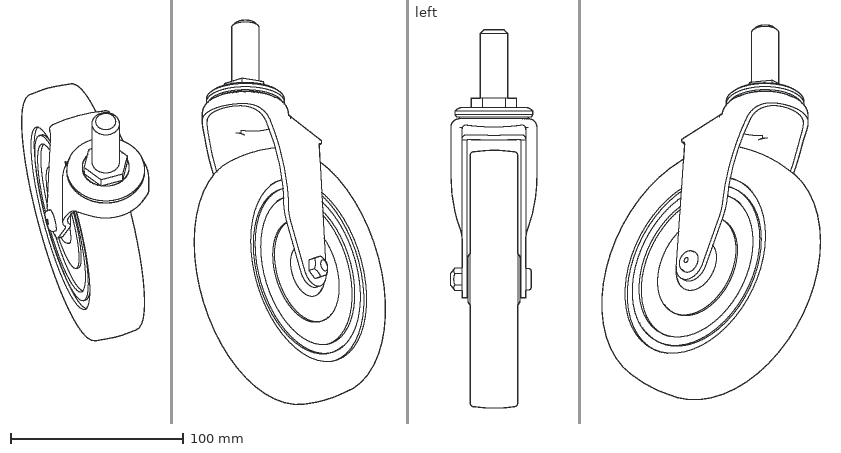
import cadquery as cq
import math


wheel_radius = 75.0
tread_edge_radius = 74.0
shoulder_radius = 72.0
wheel_width = 27.7
wheel_half_width = wheel_width / 2
shoulder_width = 2.2
groove_outer_radius = 54.8
rib_outer_radius = 49.7
web_outer_radius = 44.5
disc_radius = 30.5
step_down = 2.0
step_up = 1.3
hub_radius = 15.5
hub_fillet = 3.0
hub_half_width = 15.2

axle_radius = 4.5
head_radius = 6.4
head_height = 3.3
head_fillet = 2.0
dimple_radius = 1.5
dimple_depth = 1.0
nut_corner_radius = 6.5
nut_height = 6.8
nut_tip_radius = 3.3
nut_corner_height = 4.2

sheet = 2.9
leg_outer_y = 18.5
leg_inner_y = leg_outer_y - sheet
leg_end_radius = 10.8
leg_rear_lean = 4.8
leg_front_lean = 27
swivel_x = 42.0
dome_radius = 25.0
dome_fillet = 5.0
dome_top = 93.2
skirt_bottom = 84.0
skirt_corner_x = 53.7
skirt_fillet = 15.5
blend_radius = 5.7
roof_slope = 10.5
roof_edge_x = -9.2
roof_edge_z = 83.5
roof_edge_bow = 2.5
roof_fillet = 2.6
roof_inner_fillet = 0.7
notch_radius = 1.8

neck_radius = 20.0
ring_radius = 22.6
ring_bottom_radius = 21.8
ring_face_radius = 18.0
ring_bottom = 94.1
ring_chamfer_top = 95.7
ring_shoulder = 97.6
ring_top = 99.8
ring_recess_radius = 13.6
ring_recess_depth = 0.9

stem_diameter = 16.0
stem_radius = stem_diameter / 2
stem_top = 145.0
stem_chamfer = 2.2
stem_hex_corner_radius = 13.2
stem_hex_top = 105.0

trim_bottom = -2 * leg_end_radius
trim_left = -4 * leg_end_radius


def revolve_about_axle(sketch):
    """Revolve a (radius, Y) profile drawn in the XY plane about the Y axis."""
    return sketch.close().revolve(360, (0, 0, 0), (0, 1, 0))


def make_wheel():
    tread_half_width = wheel_half_width - shoulder_width
    groove_face = wheel_half_width - step_down
    rib_face = groove_face + step_up
    web_face = rib_face - step_down
    disc_face = web_face + step_up
    hub_flat_radius = hub_radius - hub_fillet

    blank = revolve_about_axle(
        cq.Workplane("XY")
        .moveTo(axle_radius, -wheel_half_width)
        .lineTo(shoulder_radius, -wheel_half_width)
        .radiusArc((tread_edge_radius, -tread_half_width), -shoulder_width)
        .threePointArc((wheel_radius, 0), (tread_edge_radius, tread_half_width))
        .radiusArc((shoulder_radius, wheel_half_width), -shoulder_width)
        .lineTo(axle_radius, wheel_half_width)
    )
    recess = revolve_about_axle(
        cq.Workplane("XY")
        .moveTo(axle_radius, hub_half_width)
        .lineTo(groove_outer_radius, hub_half_width)
        .lineTo(groove_outer_radius, groove_face)
        .lineTo(rib_outer_radius, groove_face)
        .lineTo(rib_outer_radius, rib_face)
        .lineTo(web_outer_radius, rib_face)
        .lineTo(web_outer_radius, web_face)
        .lineTo(disc_radius, web_face)
        .lineTo(disc_radius, disc_face)
        .lineTo(axle_radius, disc_face)
    )
    hub = revolve_about_axle(
        cq.Workplane("XY")
        .moveTo(axle_radius, disc_face)
        .lineTo(hub_radius, disc_face)
        .radiusArc((hub_flat_radius, hub_half_width), -hub_fillet)
        .lineTo(axle_radius, hub_half_width)
    )
    return (
        blank.cut(recess)
        .cut(recess.mirror("XZ"))
        .union(hub)
        .union(hub.mirror("XZ"))
    )


def hexagon(corner_radius):
    """Corner points of a hexagon with two corners on the second sketch axis."""
    angles = [math.radians(90 + 60 * i) for i in range(6)]
    return [(corner_radius * math.cos(a), corner_radius * math.sin(a)) for a in angles]


def make_axle():
    head_face_y = -leg_outer_y - head_height
    turned = revolve_about_axle(
        cq.Workplane("XY")
        .moveTo(0, head_face_y + dimple_depth)
        .lineTo(dimple_radius, head_face_y)
        .lineTo(head_radius - head_fillet, head_face_y)
        .radiusArc((head_radius, head_face_y + head_fillet), -head_fillet)
        .lineTo(head_radius, -leg_outer_y)
        .lineTo(axle_radius, -leg_outer_y)
        .lineTo(axle_radius, leg_outer_y)
        .lineTo(0, leg_outer_y)
    )
    nut_cone = revolve_about_axle(
        cq.Workplane("XY")
        .moveTo(0, leg_outer_y)
        .lineTo(nut_corner_radius, leg_outer_y)
        .lineTo(nut_corner_radius, leg_outer_y + nut_corner_height)
        .lineTo(nut_tip_radius, leg_outer_y + nut_height)
        .lineTo(0, leg_outer_y + nut_height)
    )
    nut = (
        cq.Workplane("XZ", origin=(0, leg_outer_y, 0))
        .polyline(hexagon(nut_corner_radius))
        .close()
        .extrude(-nut_height)
        .intersect(nut_cone)
    )
    return turned.union(nut)


def channel(half_width, drop, edge_fillet):
    """Straight bar under the sloping roof plane, the plane lowered by drop."""
    rise = math.tan(math.radians(roof_slope))

    def roof_z(x):
        return roof_edge_z - drop + (x - roof_edge_x) * rise

    bar = (
        cq.Workplane("XZ", origin=(0, half_width, 0))
        .polyline(
            [
                (trim_left, trim_bottom),
                (swivel_x, trim_bottom),
                (swivel_x, roof_z(swivel_x)),
                (trim_left, roof_z(trim_left)),
            ]
        )
        .close()
        .extrude(2 * half_width)
    )
    return bar.faces("not(#Z or |Z)").edges("not |Y").fillet(edge_fillet)


def blend_prism(half_width, barrel_radius, blend, top):
    """Corner fillers, concave in plan, between the flat sides and the round barrel."""
    centre_y = half_width + blend
    reach = barrel_radius + blend
    centre_x = swivel_x - math.sqrt(reach**2 - centre_y**2)
    touch_x = centre_x + (swivel_x - centre_x) * blend / reach
    touch_y = centre_y * barrel_radius / reach
    filler = (
        cq.Workplane("XY", origin=(0, 0, trim_bottom))
        .moveTo(centre_x, half_width)
        .radiusArc((touch_x, touch_y), -blend)
        .lineTo(swivel_x, 0)
        .lineTo(centre_x, 0)
        .close()
        .extrude(top - trim_bottom)
    )
    return filler.union(filler.mirror("XZ"))


def barrel(radius, top, fillet):
    return (
        cq.Workplane("XY", origin=(swivel_x, 0, trim_bottom))
        .circle(radius)
        .extrude(top - trim_bottom)
        .faces(">Z")
        .edges()
        .fillet(fillet)
    )


def fork_side_outline():
    """Side outline of the fork: tapering legs, skirt at the swivel and lip at the roof edge."""
    rear = math.radians(leg_rear_lean)
    front = math.radians(leg_front_lean)
    rear_touch = (-leg_end_radius * math.cos(rear), leg_end_radius * math.sin(rear))
    front_touch = (leg_end_radius * math.cos(front), -leg_end_radius * math.sin(front))
    skirt_tangent = skirt_fillet * math.tan((math.pi / 2 - front) / 2)
    notch_z = roof_edge_z - sheet - notch_radius
    notch_x = rear_touch[0] + (notch_z - rear_touch[1]) * math.tan(rear)
    far = swivel_x + 2 * dome_radius
    return (
        cq.Workplane("XZ", origin=(0, dome_radius, 0))
        .moveTo(*rear_touch)
        .threePointArc((0, -leg_end_radius), front_touch)
        .lineTo(
            skirt_corner_x - skirt_tangent * math.sin(front),
            skirt_bottom - skirt_tangent * math.cos(front),
        )
        .radiusArc((skirt_corner_x + skirt_tangent, skirt_bottom), skirt_fillet)
        .lineTo(far, skirt_bottom)
        .lineTo(far, stem_top)
        .lineTo(roof_edge_x - notch_radius, stem_top)
        .lineTo(roof_edge_x - notch_radius, notch_z + notch_radius)
        .lineTo(notch_x - notch_radius, notch_z + notch_radius)
        .radiusArc((notch_x, notch_z), notch_radius)
        .close()
        .extrude(2 * dome_radius)
    )


def roof_edge_limit():
    """Block beyond the free edge of the roof: the edge bows outward and is square to the roof."""
    corner_x = roof_edge_x + roof_edge_bow
    block_height = 4 * sheet
    return (
        cq.Workplane("XY", origin=(0, 0, roof_edge_z - sheet - notch_radius))
        .moveTo(corner_x, -leg_outer_y)
        .threePointArc((roof_edge_x, 0), (corner_x, leg_outer_y))
        .lineTo(trim_left, leg_outer_y)
        .lineTo(trim_left, -leg_outer_y)
        .close()
        .extrude(block_height)
        .rotate((roof_edge_x, 0, roof_edge_z), (roof_edge_x, 1, roof_edge_z), -roof_slope)
    )


def make_fork():
    inner_roof_drop = sheet / math.cos(math.radians(roof_slope))
    blend_top = dome_top - dome_fillet
    outside = (
        channel(leg_outer_y, 0, roof_fillet)
        .union(blend_prism(leg_outer_y, dome_radius, blend_radius, blend_top))
        .union(barrel(dome_radius, dome_top, dome_fillet))
    )
    inside = (
        channel(leg_inner_y, inner_roof_drop, roof_inner_fillet)
        .union(blend_prism(leg_inner_y, dome_radius - sheet, blend_radius + sheet, blend_top - sheet))
        .union(barrel(dome_radius - sheet, dome_top - sheet, dome_fillet - sheet))
    )
    axle_hole = (
        cq.Workplane("XZ", origin=(0, dome_radius, 0)).circle(axle_radius).extrude(2 * dome_radius)
    )
    return (
        outside.cut(inside)
        .intersect(fork_side_outline())
        .cut(roof_edge_limit())
        .cut(axle_hole)
    )


def make_ring():
    recess_floor = ring_top - ring_recess_depth
    return (
        cq.Workplane("XZ")
        .moveTo(stem_radius, dome_top)
        .lineTo(neck_radius, dome_top)
        .lineTo(neck_radius, ring_bottom)
        .lineTo(ring_bottom_radius, ring_bottom)
        .lineTo(ring_radius, ring_chamfer_top)
        .lineTo(ring_radius, ring_shoulder)
        .spline([(ring_face_radius, ring_top)], tangents=[(-1, 1), (-1, 0)], includeCurrent=True)
        .lineTo(ring_recess_radius, ring_top)
        .lineTo(ring_recess_radius, recess_floor)
        .lineTo(stem_radius, recess_floor)
        .close()
        .revolve(360, (0, 0, 0), (0, 1, 0))
        .translate((swivel_x, 0, 0))
    )


def make_stem():
    hex_bottom = ring_top - ring_recess_depth
    shank = (
        cq.Workplane("XY", origin=(swivel_x, 0, dome_top))
        .circle(stem_radius)
        .extrude(stem_top - dome_top)
        .faces(">Z")
        .chamfer(stem_chamfer)
    )
    collar = (
        cq.Workplane("XY", origin=(swivel_x, 0, hex_bottom))
        .polyline(hexagon(stem_hex_corner_radius))
        .close()
        .extrude(stem_hex_top - hex_bottom)
    )
    return shank.union(collar)


wheel = make_wheel()
axle = make_axle()
fork = make_fork()
ring = make_ring()
stem = make_stem()

result = cq.Compound.makeCompound([fork.val(), wheel.val(), axle.val(), ring.val(), stem.val()])